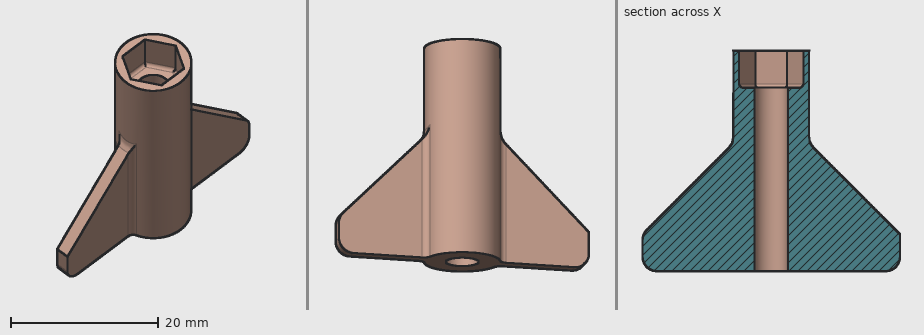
import cadquery as cq
import math

barrel_height = 30.0
barrel_diameter = 10.4
barrel_radius = barrel_diameter / 2
bore_diameter = 4.5

socket_across_flats = 7.5
socket_depth = 5.0
socket_floor_fillet = 0.5

wing_span = 35.05
wing_thickness = 2.0
gable_thickness = 2 * wing_thickness
wing_tip_height = 5.05
wing_slope_angle = 45.0
wing_corner_radius = 2.0
wing_side_fillet = wing_thickness / 2
wing_top_fillet = 2.0


def make_barrel():
    return cq.Workplane("XY").circle(barrel_radius).extrude(barrel_height)


def make_gable():
    """Plate with the sloping wing outline, wider along X than the finished wings."""
    tip = wing_span / 2
    peak_height = wing_tip_height + tip * math.tan(math.radians(wing_slope_angle))
    plate = (
        cq.Workplane("YZ")
        .moveTo(-tip, 0)
        .lineTo(tip, 0)
        .lineTo(tip, wing_tip_height)
        .lineTo(0, peak_height)
        .lineTo(-tip, wing_tip_height)
        .close()
        .extrude(gable_thickness / 2, both=True)
    )
    plate = plate.faces("<Z").edges("|X").fillet(wing_corner_radius)
    return plate.faces(">Y").edges("|X and >Z").fillet(wing_corner_radius)


def make_side_profile():
    """Barrel with the gable, its slopes blended upward into the barrel."""
    body = make_barrel().union(make_gable())
    slope_rise = (wing_span / 2 - barrel_radius) * math.tan(math.radians(wing_slope_angle))
    for side in (-1, 1):
        joint = (0, side * barrel_radius, wing_tip_height + slope_rise)
        body = body.edges(cq.selectors.NearestToPointSelector(joint)).fillet(wing_top_fillet)
    return body


def make_plan_profile():
    """Full-height barrel and straight wings, with their upright joints filleted."""
    plate = cq.Workplane("XY").rect(wing_thickness, wing_span).extrude(barrel_height)
    body = make_barrel().union(plate)
    joint_x = wing_thickness / 2
    joint_y = math.sqrt(barrel_radius**2 - joint_x**2)
    for x in (-joint_x, joint_x):
        for y in (-joint_y, joint_y):
            joint = (x, y, barrel_height / 2)
            body = body.edges(cq.selectors.NearestToPointSelector(joint)).fillet(wing_side_fillet)
    return body


def make_socket():
    """Hexagonal cutter with a rounded floor edge."""
    corner_diameter = socket_across_flats / math.cos(math.pi / 6)
    return (
        cq.Workplane("XY")
        .workplane(offset=barrel_height - socket_depth)
        .transformed(rotate=(0, 0, 90))
        .polygon(6, corner_diameter)
        .extrude(socket_depth)
        .faces("<Z")
        .edges()
        .fillet(socket_floor_fillet)
    )


bore = cq.Workplane("XY").circle(bore_diameter / 2).extrude(barrel_height)

wings = make_side_profile().intersect(make_plan_profile())
winged_barrel = make_barrel().union(wings).clean()
result = winged_barrel.cut(make_socket()).cut(bore)